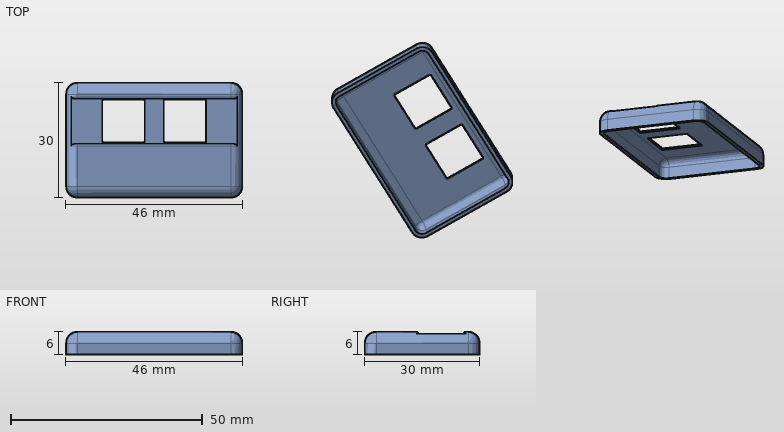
import cadquery as cq

LENGTH = 46.0
WIDTH = 30.0
HEIGHT = 6.0
EDGE_RADIUS = 3.0

WALL = 1.0
CAVITY_RADIUS = EDGE_RADIUS - WALL

RECESS_DEPTH = 0.5
RECESS_FRONT = -1.45
RECESS_BACK = 11.3
RECESS_FLOOR = HEIGHT - RECESS_DEPTH
FLANK_RADIUS = RECESS_DEPTH

WINDOW_LENGTH = 11.0
WINDOW_WIDTH = 11.1
WINDOW_SPACING = 16.0
WINDOW_CENTER_Y = 5.0
WINDOW_CORNER_RADIUS = 0.25


def rounded_block(length, width, height, radius):
    """Block on Z = 0 with equally rounded vertical and top edges."""
    block = cq.Workplane("XY").box(length, width, height, centered=(True, True, False))
    return block.edges("|Z").fillet(radius).faces(">Z").edges().fillet(radius)


def slab(body, y_min, y_max):
    """Part of the body between two planes across Y."""
    cutter = cq.Workplane("XY").box(LENGTH, y_max - y_min, HEIGHT, centered=(True, False, False))
    return body.intersect(cutter.translate((0, y_min, 0)))


def recess_body(body):
    """Lower the top between two flanks whose upper edges are rounded over the full outline."""
    front = slab(body, -WIDTH / 2, RECESS_FRONT + FLANK_RADIUS)
    front = front.faces(">Y").edges("not <Z").fillet(FLANK_RADIUS)
    back = slab(body, RECESS_BACK - FLANK_RADIUS, WIDTH / 2)
    back = back.faces("<Y").edges("not <Z").fillet(FLANK_RADIUS)
    base = body.intersect(cq.Workplane("XY").box(LENGTH, WIDTH, RECESS_FLOOR, centered=(True, True, False)))
    return base.union(front).union(back)


def windows():
    """Two openings, symmetric about the middle of the length."""
    half_spacing = WINDOW_SPACING / 2
    return (
        cq.Workplane("XY")
        .pushPoints([(-half_spacing, WINDOW_CENTER_Y), (half_spacing, WINDOW_CENTER_Y)])
        .rect(WINDOW_LENGTH, WINDOW_WIDTH)
        .extrude(HEIGHT)
        .edges("|Z")
        .fillet(WINDOW_CORNER_RADIUS)
    )


body = rounded_block(LENGTH, WIDTH, HEIGHT, EDGE_RADIUS)
cavity = rounded_block(LENGTH - 2 * WALL, WIDTH - 2 * WALL, HEIGHT - WALL, CAVITY_RADIUS)
result = recess_body(body).cut(cavity).cut(windows())